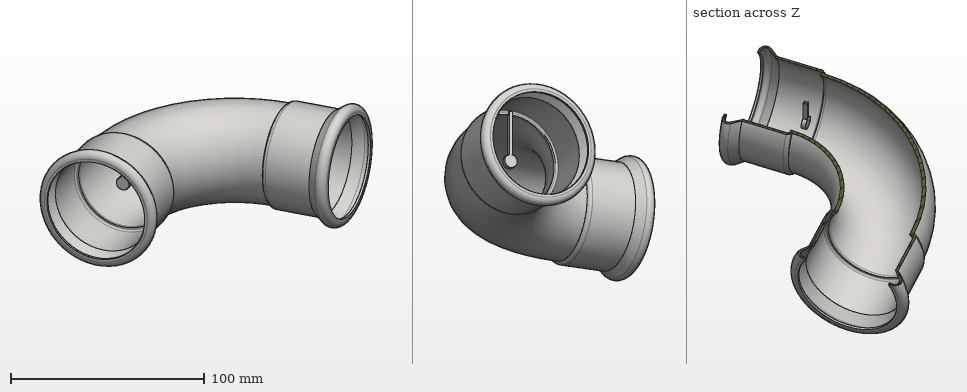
import cadquery as cq
import math

overall = 132.5
bead_diameter = 65.3
socket_length = 37.5
tube_radius = 27.0
tube_bore = 25.3

wall = 1.3
socket_radius = 28.6
shoulder_round = 2.4
bead_round = 3.6
lip_radius = 27.5
cone_start = 10.5

disc_radius = 3.6
spoke_width = 1.9
marker_thickness = 2.4

half_overall = overall / 2
bead_radius_max = bead_diameter / 2
axis_offset = bead_radius_max - half_overall
bend_start = socket_length - half_overall
bend_radius = overall - socket_length - bead_radius_max


def bead_tangent(cone_radius, section_radius):
    """Angle from the radial direction at which the flare cone touches the circular bead section."""
    center_radius = bead_radius_max - bead_round
    run = cone_start - bead_round
    rise = cone_radius - center_radius
    return math.atan2(run, rise) - math.acos(section_radius / math.hypot(run, rise))


def flared_profile(cylinder_radius, section_radius, end_round, end_depth):
    """Half section (radius, depth) from the bead to the axis at the socket end."""
    center_radius = bead_radius_max - bead_round
    angle = bead_tangent(cylinder_radius, section_radius)
    mid_angle = (angle - math.pi / 2) / 2

    def on_bead(theta):
        return (
            center_radius + section_radius * math.cos(theta),
            bead_round + section_radius * math.sin(theta),
        )

    round_mid = end_round * math.sqrt(0.5)
    return (
        cq.Workplane("XY")
        .moveTo(0, bead_round - section_radius)
        .lineTo(center_radius, bead_round - section_radius)
        .threePointArc(on_bead(mid_angle), on_bead(angle))
        .lineTo(cylinder_radius, cone_start)
        .lineTo(cylinder_radius, end_depth - end_round)
        .threePointArc(
            (cylinder_radius - end_round + round_mid, end_depth - end_round + round_mid),
            (cylinder_radius - end_round, end_depth),
        )
        .lineTo(0, end_depth)
        .close()
    )


def revolve_about_y(profile):
    return profile.revolve(360, (0, 0, 0), (0, 1, 0))


def axial_cylinder(radius, length):
    return cq.Workplane("XZ").circle(radius).extrude(-length)


def make_socket():
    """Press socket along +Y with its mouth face at the origin."""
    outside = revolve_about_y(
        flared_profile(socket_radius, bead_round, shoulder_round, socket_length)
    )
    inside = revolve_about_y(
        flared_profile(
            socket_radius - wall, bead_round - wall, shoulder_round - wall, socket_length - wall
        )
    )
    mouth = axial_cylinder(lip_radius, wall)
    bore = axial_cylinder(tube_bore, socket_length)
    return outside.cut(inside).cut(mouth).cut(bore)


def make_bend():
    """Quarter-turn tube between the two socket ends."""
    return (
        cq.Workplane("XZ", origin=(axis_offset, bend_start, 0))
        .circle(tube_radius)
        .circle(tube_bore)
        .revolve(90, (bend_radius, 1.3, 0), (bend_radius, 0, 0))
    )


def make_marker():
    """Disc and upward spoke that end at the closed end of the socket."""
    disc = axial_cylinder(disc_radius, marker_thickness)
    spoke = cq.Workplane("XY").box(
        spoke_width, marker_thickness, tube_radius, centered=(True, False, False)
    )
    return disc.union(spoke).translate((0, socket_length - marker_thickness, 0))


socket = make_socket()
front_socket = socket.union(make_marker()).translate((axis_offset, -half_overall, 0))
side_socket = socket.rotate((0, 0, 0), (0, 0, 1), 90).translate((half_overall, -axis_offset, 0))

result = make_bend().union(front_socket).union(side_socket)